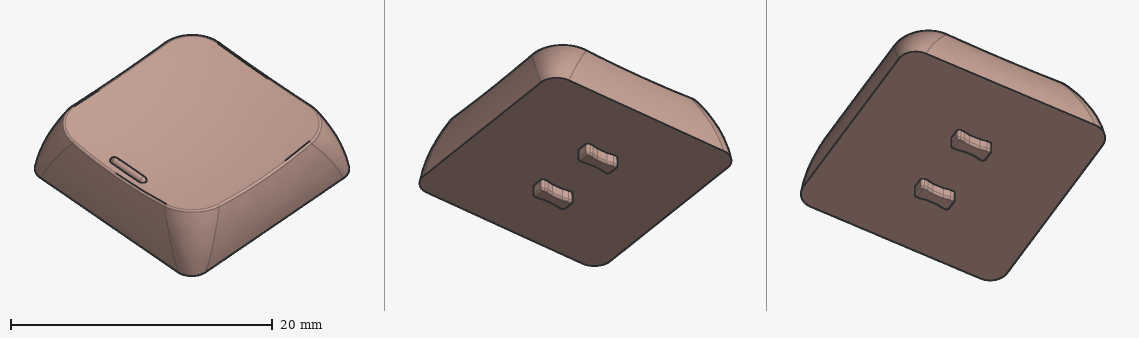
import cadquery as cq
import math

BASE_SIDE = 17.9
TOTAL_HEIGHT = 5.78
STEM_HEIGHT = 0.97
BLANK_HEIGHT = 5.19
SIDE_ARC_RADIUS = 10.92
BASE_CORNER_RADIUS = 1.5
RIM_CORNER_RADIUS = 2.99
CORNER_BULGE = 0.3
LOFT_SECTIONS = 6

DISH_RADIUS = 47.8
DISH_FLOOR = 3.81
RIM_FILLET = 0.2

BAR_RADIUS = 0.35
BAR_LENGTH = 3.0
BAR_Y = -6.87
BAR_AXIS_Z = 4.28

STEM_SPACING = 5.7
STEM_WIDTH = 1.27
STEM_DEPTH = 3.03
STEM_CORNER_RADIUS = 0.23
STEM_TIP_FILLET = 0.2
WAIST_INSET = 0.1
WAIST_FLAT = 0.93
WAIST_MOUTH = 1.97

RIM_HEIGHT = TOTAL_HEIGHT - STEM_HEIGHT


def body_section(z):
    """Rounded square outline of the body at height z."""
    inset = SIDE_ARC_RADIUS - math.sqrt(SIDE_ARC_RADIUS**2 - z**2)
    side = BASE_SIDE - 2 * inset
    rise = z / RIM_HEIGHT
    growth = rise * (1 + CORNER_BULGE * (1 - rise))
    radius = BASE_CORNER_RADIUS + (RIM_CORNER_RADIUS - BASE_CORNER_RADIUS) * growth
    outline = cq.Sketch().rect(side, side).vertices().fillet(radius)
    return outline.moved(cq.Location(cq.Vector(0, 0, z)))


def make_body():
    """Curved, tapering body with a spherical dish and a softened rim."""
    step = BLANK_HEIGHT / (LOFT_SECTIONS - 1)
    sections = [body_section(i * step) for i in range(LOFT_SECTIONS)]
    blank = cq.Workplane("XY").placeSketch(*sections).loft()
    dish = cq.Workplane("XY").sphere(DISH_RADIUS).rotate((0, 0, 0), (0, 1, 0), -90)
    dish = dish.translate((0, 0, DISH_FLOOR + DISH_RADIUS))
    body = blank.cut(dish)
    return body.faces(">Z").edges().fillet(RIM_FILLET)


def make_bar():
    """Horizontal bar with hemispherical ends, half sunk into the dish."""
    bar = cq.Workplane("YZ").circle(BAR_RADIUS).extrude(BAR_LENGTH / 2, both=True)
    for x in (-BAR_LENGTH / 2, BAR_LENGTH / 2):
        bar = bar.union(cq.Workplane("XY").sphere(BAR_RADIUS).translate((x, 0, 0)))
    return bar.translate((0, BAR_Y, BAR_AXIS_Z))


def make_stem(x):
    """Rectangular stem with shallow waists in its long sides and a rounded tip."""
    stem = cq.Workplane("XY").rect(STEM_WIDTH, STEM_DEPTH).extrude(-STEM_HEIGHT)
    stem = stem.edges("|Z").fillet(STEM_CORNER_RADIUS)
    for side in (-1, 1):
        surface = side * STEM_WIDTH / 2
        floor = surface - side * WAIST_INSET
        waist = (
            cq.Workplane("XY")
            .moveTo(surface, -WAIST_MOUTH / 2)
            .lineTo(floor, -WAIST_FLAT / 2)
            .lineTo(floor, WAIST_FLAT / 2)
            .lineTo(surface, WAIST_MOUTH / 2)
            .close()
            .extrude(-STEM_HEIGHT)
        )
        stem = stem.cut(waist)
    return stem.faces("<Z").edges().fillet(STEM_TIP_FILLET).translate((x, 0, 0))


result = make_body().union(make_bar())
for stem_x in (-STEM_SPACING / 2, STEM_SPACING / 2):
    result = result.union(make_stem(stem_x))